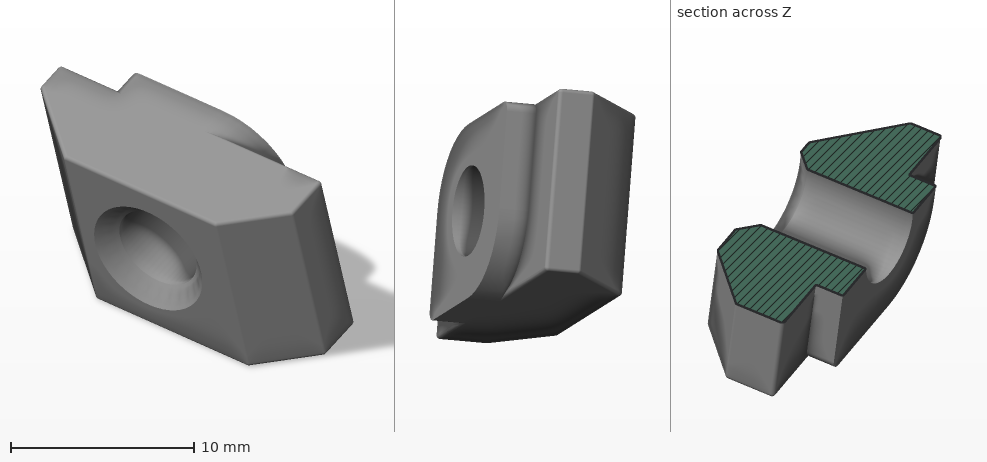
import cadquery as cq
import math

HEIGHT = 9.75
SKEW_ANGLE = 12.5
FLANGE_LENGTH = 17.0
FLANGE_THICKNESS = 6.0
LEFT_RIM_THICKNESS = 2.0
RIGHT_RIM_THICKNESS = 3.0
NECK_HEIGHT = 1.7
NECK_LARGE_RADIUS = 5.0
NECK_SMALL_RADIUS = 0.5
EDGE_RADIUS = 0.2
HOLE_DIAMETER = 5.0
COUNTERSINK_DIAMETER = 7.0
COUNTERSINK_ANGLE = 90.0

BOTTOM_Y = -FLANGE_THICKNESS
HALF_HEIGHT = HEIGHT / 2
SKEW = math.radians(SKEW_ANGLE)
END_SHIFT = HALF_HEIGHT * math.tan(SKEW)


def make_flange():
    """Skewed prism with two bevels at 45 degrees and rounded edges."""
    half_length = FLANGE_LENGTH / 2
    left_bevel_run = (FLANGE_THICKNESS - LEFT_RIM_THICKNESS) / math.cos(SKEW)
    right_bevel_run = (FLANGE_THICKNESS - RIGHT_RIM_THICKNESS) / math.cos(SKEW)
    outline = [
        (-half_length, 0),
        (half_length, 0),
        (half_length, -RIGHT_RIM_THICKNESS),
        (half_length - right_bevel_run, BOTTOM_Y),
        (-half_length + left_bevel_run, BOTTOM_Y),
        (-half_length, -LEFT_RIM_THICKNESS),
    ]
    lower = cq.Workplane("XY", origin=(END_SHIFT, 0, -HALF_HEIGHT)).polyline(outline).close()
    upper = cq.Workplane("XY", origin=(-END_SHIFT, 0, HALF_HEIGHT)).polyline(outline).close()
    prism = cq.Solid.makeLoft([lower.wires().val(), upper.wires().val()], True)
    return cq.Workplane(obj=prism).edges().fillet(EDGE_RADIUS)


def round_corner_pair(neck, corner, radius):
    """Round the upright edge at one corner and the edge diagonally opposite it."""
    x, z = corner
    mid_y = (NECK_HEIGHT - EDGE_RADIUS) / 2
    corner_edge = cq.selectors.NearestToPointSelector((x, mid_y, z))
    opposite_edge = cq.selectors.NearestToPointSelector((-x, mid_y, -z))
    return neck.edges("|Y").edges(corner_edge + opposite_edge).fillet(radius)


def make_neck():
    """Rhombic neck, as wide as the nut is high, rooted below the rounded flange edges."""
    half_length = HALF_HEIGHT / math.cos(SKEW)
    upper_acute = (-half_length - END_SHIFT, HALF_HEIGHT)
    upper_obtuse = (half_length - END_SHIFT, HALF_HEIGHT)
    lower_acute = (half_length + END_SHIFT, -HALF_HEIGHT)
    lower_obtuse = (-half_length + END_SHIFT, -HALF_HEIGHT)
    neck = (
        cq.Workplane("XZ", origin=(0, NECK_HEIGHT, 0))
        .polyline([upper_acute, upper_obtuse, lower_acute, lower_obtuse])
        .close()
        .extrude(NECK_HEIGHT + EDGE_RADIUS)
    )
    neck = round_corner_pair(neck, upper_obtuse, NECK_LARGE_RADIUS)
    return round_corner_pair(neck, upper_acute, NECK_SMALL_RADIUS)


def drill_hole(body):
    """Through hole along Y, countersunk from the flange base."""
    return (
        body.faces("<Y")
        .workplane(origin=(0, BOTTOM_Y, 0))
        .cskHole(HOLE_DIAMETER, COUNTERSINK_DIAMETER, COUNTERSINK_ANGLE)
    )


result = drill_hole(make_flange().union(make_neck()))